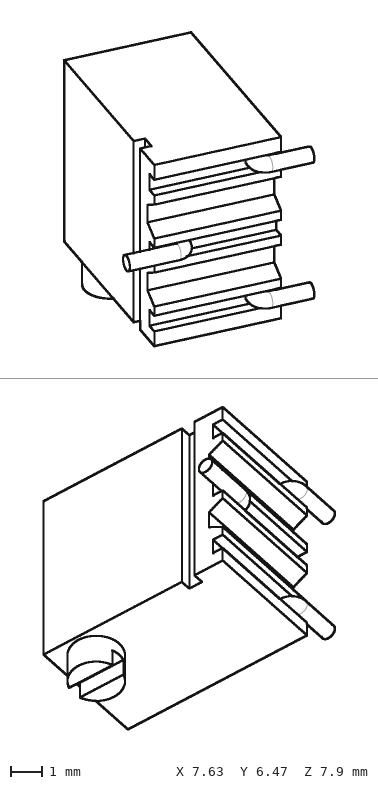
import cadquery as cq

total_height = 7.9
screw_length = 1.14
body_length = 7.275
body_depth = 4.455
body_height = total_height - screw_length

screw_diameter = 1.86
screw_x = 1.32
screw_y = 1.07
driver_slot_width = 0.57
driver_slot_depth = 0.65

groove_x = 5.62
groove_width = 0.51
groove_depth = 0.395

pin_pitch = 2.535
pin_diameter = 0.545
pin_reach = 1.01
pin_overhang = 0.355
pin_embed = 0.16
pin_slot_height = 0.585
pin_slot_depth = 0.395
notch_depth = 0.55
notch_mouth = 1.265
notch_floor = 0.65

rear_bend_radius = 0.36
rear_bend_inset = 0.45
front_bend_radius = 0.3
front_bend_inset = 0.79

middle_z = body_height / 2
pin_axis_x = body_length + pin_overhang - pin_diameter / 2
pin_root_x = body_length - pin_slot_depth - pin_embed


def box(x, y, z, length, depth, height):
    """Box with its lower front left corner at (x, y, z)."""
    return cq.Workplane("XY").box(length, depth, height, centered=False).translate((x, y, z))


def pin_slot(z):
    """Slot along Y in the right face, centred on height z."""
    return box(
        body_length - pin_slot_depth, 0, z - pin_slot_height / 2,
        pin_slot_depth, body_depth, pin_slot_height,
    )


def notch(z):
    """Tapered notch along Y in the right face, centred on height z."""
    floor_x = body_length - notch_depth
    return (
        cq.Workplane("XZ")
        .moveTo(body_length, z - notch_mouth / 2)
        .lineTo(floor_x, z - notch_floor / 2)
        .lineTo(floor_x, z + notch_floor / 2)
        .lineTo(body_length, z + notch_mouth / 2)
        .close()
        .extrude(-body_depth)
    )


def bent_pin(z, tip_y, bend_start_y, bend_radius):
    """Round pin that leaves the housing along X and bends a quarter turn towards tip_y."""
    toward_tip = 1 if tip_y > bend_start_y else -1
    root_y = bend_start_y - toward_tip * bend_radius
    bend_end_x = pin_axis_x - bend_radius
    root_leg_end = (bend_end_x, root_y)
    tip_leg_start = (pin_axis_x, bend_start_y)
    path = (
        cq.Workplane("XY", origin=(0, 0, z))
        .moveTo(pin_root_x, root_y)
        .lineTo(*root_leg_end)
        .tangentArcPoint(tip_leg_start, relative=False)
        .lineTo(pin_axis_x, tip_y)
    )
    return cq.Workplane("YZ", origin=(pin_root_x, root_y, z)).circle(pin_diameter / 2).sweep(path)


def adjusting_screw():
    """Screw head with a driver slot along X across its lower end."""
    screw = (
        cq.Workplane("XY", origin=(screw_x, screw_y, -screw_length))
        .circle(screw_diameter / 2)
        .extrude(screw_length)
    )
    driver_slot = box(
        screw_x - screw_diameter / 2, screw_y - driver_slot_width / 2, -screw_length,
        screw_diameter, driver_slot_width, driver_slot_depth,
    )
    return screw.cut(driver_slot)


result = box(0, 0, 0, body_length, body_depth, body_height)
result = result.cut(box(groove_x, 0, 0, groove_width, groove_depth, body_height))

for row in (-1, 0, 1):
    result = result.cut(pin_slot(middle_z + row * pin_pitch))

for side in (-1, 1):
    result = result.cut(notch(middle_z + side * pin_pitch / 2))
    rear_pin = bent_pin(
        middle_z + side * pin_pitch, body_depth + pin_reach,
        body_depth - rear_bend_inset, rear_bend_radius,
    )
    result = result.union(rear_pin)

front_pin = bent_pin(middle_z, -pin_reach, front_bend_inset, front_bend_radius)
result = result.union(front_pin)
result = result.union(adjusting_screw())